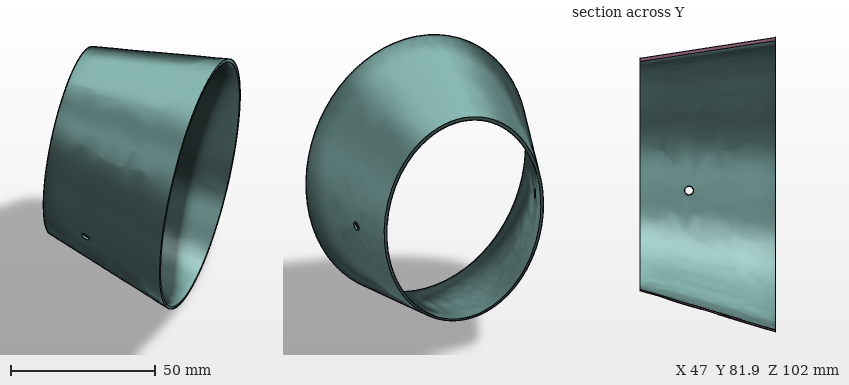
import cadquery as cq

length = 47.0
large_width = 81.9
large_height = 102.0
small_width = 58.7
small_height = 80.6
small_end_rise = 3.5
wall = 1.0
bore_drop = 0.3

hole_diameter = 3.0
hole_from_small_end = 17.0
hole_z = -2.0


def tapered_oval(inset, drop):
    """Solid between the two end ellipses, each shrunk by inset and lowered by drop."""
    return (
        cq.Workplane("YZ")
        .center(0, small_end_rise - drop)
        .ellipse(small_width / 2 - inset, small_height / 2 - inset)
        .workplane(offset=length)
        .center(0, -small_end_rise)
        .ellipse(large_width / 2 - inset, large_height / 2 - inset)
        .loft(ruled=True, combine=True)
    )


def cross_holes():
    """Pin along Y that pierces both side walls."""
    return (
        cq.Workplane("XZ")
        .center(hole_from_small_end, hole_z)
        .circle(hole_diameter / 2)
        .extrude(large_width / 2, both=True)
    )


sleeve = tapered_oval(0, 0).cut(tapered_oval(wall, bore_drop))
result = sleeve.cut(cross_holes())